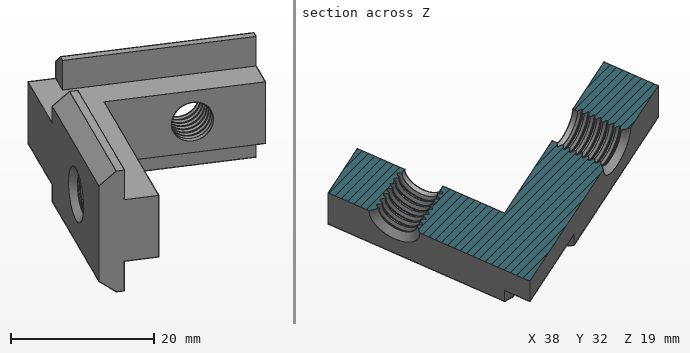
import cadquery as cq
import math

length_x = 38.0
length_y = 32.0
arm_thickness = 8.67
core_height = 9.7

flange_height = 19.0
flange_depth = 3.7
flange_start_x = 13.0
flange_start_y = 4.0
bevel_depth = 2.5
bevel_height = 2.0

hole_x = 25.75
hole_y = 21.45
thread_minor = 6.04
thread_major = 7.15
thread_pitch = 1.0
crest_width = 0.25
root_width = 0.125
groove_width = thread_pitch - crest_width
countersink_diameter = 8.05
countersink_depth = (countersink_diameter - thread_minor) / 2
first_land = 0.125
groove_count = math.floor((arm_thickness - countersink_depth - first_land) / thread_pitch)


def arm(length, flange_start):
    """Arm along +X with its outer face on the plane y = 0, centred on z = 0."""
    core = cq.Workplane("XY").box(length, arm_thickness, core_height, centered=(False, False, True))
    half_height = flange_height / 2
    half_face = half_height - bevel_height
    section = [
        (0, -half_face),
        (bevel_depth, -half_height),
        (flange_depth, -half_height),
        (flange_depth, half_height),
        (bevel_depth, half_height),
        (0, half_face),
    ]
    flange = cq.Workplane("YZ", origin=(flange_start, 0, 0)).polyline(section).close()
    return core.union(flange.extrude(length - flange_start))


def threaded_hole():
    """Cutter for one hole: axis on +Z, countersink mouth at z = 0."""
    minor_radius = thread_minor / 2
    major_radius = thread_major / 2
    profile = [
        (0, 0),
        (countersink_diameter / 2, 0),
        (minor_radius, countersink_depth),
    ]
    for turn in range(groove_count):
        groove_start = countersink_depth + first_land + turn * thread_pitch
        groove_middle = groove_start + groove_width / 2
        profile += [
            (minor_radius, groove_start),
            (major_radius, groove_middle - root_width / 2),
            (major_radius, groove_middle + root_width / 2),
            (minor_radius, groove_start + groove_width),
        ]
    profile += [
        (minor_radius, arm_thickness),
        (0, arm_thickness),
    ]
    return cq.Workplane("XZ").polyline(profile).close().revolve(360, (0, 0), (0, 1))


def threaded_arm(length, flange_start, hole_position):
    """Arm along +X with its threaded hole entered from the outer face."""
    cutter = threaded_hole().rotate((0, 0, 0), (1, 0, 0), -90)
    return arm(length, flange_start).cut(cutter.translate((hole_position, 0, 0)))


x_arm = threaded_arm(length_x, flange_start_x, hole_x)
y_arm = threaded_arm(length_y, flange_start_y, hole_y).mirror("XZ").rotate((0, 0, 0), (0, 0, 1), 90)
result = x_arm.union(y_arm)